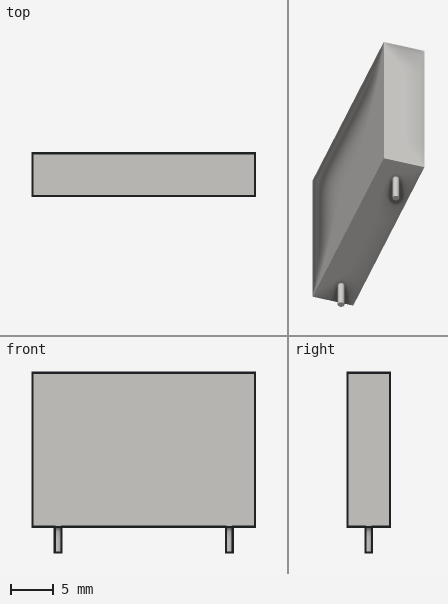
import cadquery as cq

body_length = 26.0
body_thickness = 5.0
body_height = 18.0

pin_diameter = 0.8
pin_length = 3.0
pin_pitch = 20.0


def make_body():
    return cq.Workplane("XY").box(
        body_length, body_thickness, body_height, centered=(True, True, False)
    )


def make_pins():
    """Leads on the X axis, running down from the underside of the body."""
    pin_centers = [(-pin_pitch / 2, 0), (pin_pitch / 2, 0)]
    return cq.Workplane("XY").pushPoints(pin_centers).circle(pin_diameter / 2).extrude(-pin_length)


result = make_body().union(make_pins())